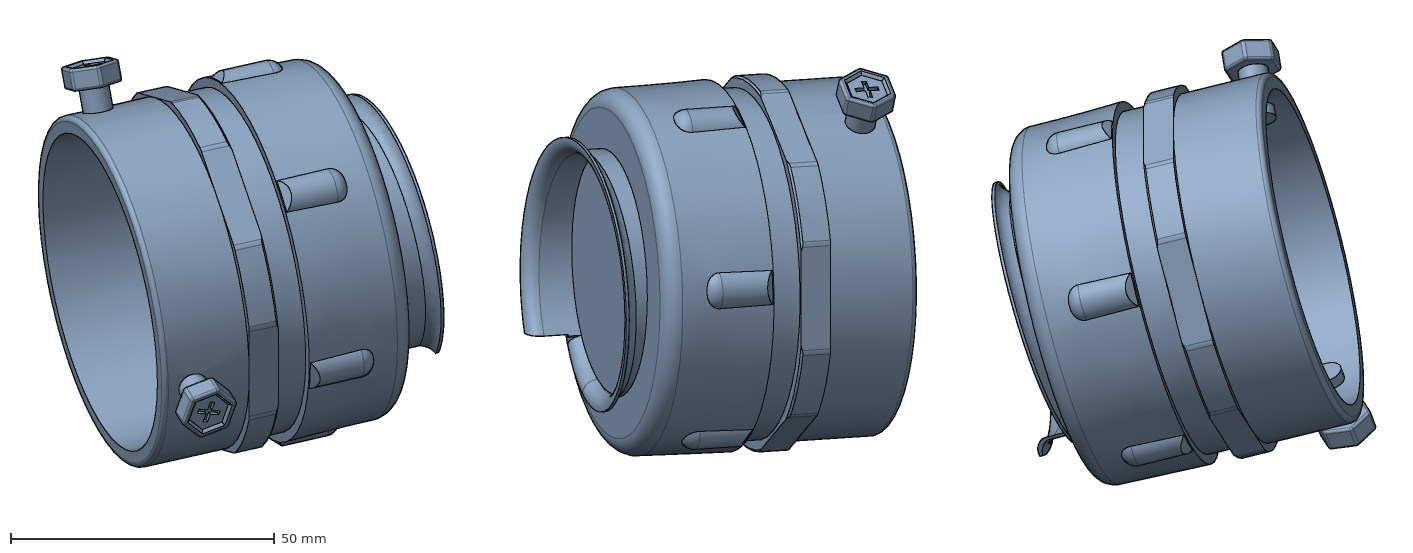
import cadquery as cq
import math


COLLAR_START = 17.4
COLLAR_LENGTH = 5.9
NECK_START = COLLAR_START + COLLAR_LENGTH
NECK_LENGTH = 5.8
CAP_START = NECK_START + NECK_LENGTH
CAP_LENGTH = 21.5
CAP_END = CAP_START + CAP_LENGTH

BARREL_RADIUS = 68.5 / 2
BARREL_BORE_RADIUS = 61.9 / 2
BARREL_BORE_DEPTH = 19.1
BARREL_MOUTH_FILLET = 1.0

COLLAR_RADIUS = 35.83
COLLAR_ACROSS_FLATS = 2 * BARREL_RADIUS
COLLAR_CORNER_FILLET = 3.3
COLLAR_EDGE_CHAMFER = 0.4

NECK_RADIUS = 67.2 / 2

CAP_RADIUS_FRONT = 35.5
CAP_RADIUS_BACK = 35.0
CAP_FILLET = 3.5
RIB_COUNT = 6
RIB_FIRST_ANGLE = -4.6
RIB_RADIUS = 4.1
RIB_AXIS_RADIUS = 32.87
RIB_LENGTH = 13.45
RIB_END_FILLET = 2.8
RIB_BEVEL = 1.7

CUP_RADIUS = 47.4 / 2
CUP_BORE_RADIUS = 46.4 / 2
RIM_RADIUS = 26.3
RIM_THICKNESS = 0.6
RIM_PITCH = 8.2
RIM_TOP = 60.79
RIM_START = RIM_TOP - RIM_PITCH
RIM_START_ANGLE = -42
RIM_STEP_Z = -15.3
RIM_JOINT = 1 / 12
FLARE_HEIGHT = 2.8

SCREW_Y = 6.0
SCREW_TIP = 28.7
SCREW_SHANK_RADIUS = 5.8 / 2
SCREW_HEAD_BASE = 39.1
SCREW_HEAD_TOP = 43.4
SCREW_HEAD_HEIGHT = SCREW_HEAD_TOP - SCREW_HEAD_BASE
HEAD_ACROSS_FLATS = 9.9
HEAD_CORNER_FILLET = 0.8
HEAD_EDGE_FILLET = 0.5
POCKET_ACROSS_FLATS = 8.0
POCKET_DEPTH = 0.6
POCKET_TAPER = 40
CROSS_LENGTH = 4.5
CROSS_WIDTH = 0.9
CROSS_DEPTH = 0.8
SCREW_PLACES = [(0, -19), (120, 0)]


def across_corners(across_flats):
    """Corner-to-corner size of a hexagon."""
    return across_flats / math.cos(math.radians(30))


def turn(shape, angle):
    """Turn a shape about the main axis, from +X towards +Z."""
    return shape.rotate((0, 0, 0), (0, 1, 0), -angle)


def disc(radius, start, length):
    """Round disc on the main axis, from start towards +Y."""
    return cq.Workplane("XZ", origin=(0, start, 0)).circle(radius).extrude(-length)


def place_screw_shape(shape, place):
    """Move a shape built along +Z at the origin to one of the screw places."""
    angle, spin = place
    spun = shape.rotate((0, 0, 0), (0, 0, 1), spin)
    radial = spun.rotate((0, 0, 0), (0, 1, 0), 90).translate((0, SCREW_Y, 0))
    return turn(radial, angle)


def make_barrel():
    """Cup-shaped barrel with a spigot that carries the collar."""
    barrel = disc(BARREL_RADIUS, 0, COLLAR_START).faces("<Y").edges().fillet(BARREL_MOUTH_FILLET)
    barrel = barrel.union(disc(NECK_RADIUS, COLLAR_START, COLLAR_LENGTH))
    barrel = barrel.cut(disc(BARREL_BORE_RADIUS, 0, BARREL_BORE_DEPTH))
    hole = cq.Workplane("XY").circle(SCREW_SHANK_RADIUS).extrude(SCREW_HEAD_BASE)
    for place in SCREW_PLACES:
        barrel = barrel.cut(place_screw_shape(hole, place))
    return barrel


def make_collar():
    """Round collar with six flats, one of them facing +X, chamfered towards the neck."""
    flats = (
        cq.Workplane("XZ", origin=(0, COLLAR_START, 0))
        .transformed(rotate=(0, 0, 30))
        .polygon(6, across_corners(COLLAR_ACROSS_FLATS))
        .extrude(-COLLAR_LENGTH)
    )
    collar = disc(COLLAR_RADIUS, COLLAR_START, COLLAR_LENGTH).intersect(flats)
    collar = collar.edges("|Y").fillet(COLLAR_CORNER_FILLET)
    envelope = disc(COLLAR_RADIUS, COLLAR_START, COLLAR_LENGTH)
    envelope = envelope.faces(">Y").edges().chamfer(COLLAR_EDGE_CHAMFER)
    collar = collar.intersect(envelope)
    return collar.cut(disc(NECK_RADIUS, COLLAR_START, COLLAR_LENGTH))


def make_neck():
    """Plain round neck between the collar and the cap."""
    return disc(NECK_RADIUS, NECK_START, NECK_LENGTH)


def make_rib():
    """Round-ended grip rib on +X, bevelled at the open end of the cap."""
    rib = disc(RIB_RADIUS, CAP_START, RIB_LENGTH)
    rib = rib.faces(">Y").edges().fillet(RIB_END_FILLET)
    rib = rib.translate((RIB_AXIS_RADIUS, 0, 0))
    crest = RIB_AXIS_RADIUS + RIB_RADIUS
    bevel = [
        (crest - RIB_BEVEL, CAP_START),
        (crest + RIB_BEVEL, CAP_START),
        (crest + RIB_BEVEL, CAP_START + 2 * RIB_BEVEL),
    ]
    return rib.cut(cq.Workplane("XY").polyline(bevel).close().revolve(360, (0, 0), (0, 1)))


def make_cap():
    """Slightly tapered cap with grip ribs around it."""
    profile = [
        (0, CAP_START),
        (CAP_RADIUS_FRONT, CAP_START),
        (CAP_RADIUS_BACK, CAP_END),
        (0, CAP_END),
    ]
    cap = cq.Workplane("XY").polyline(profile).close().revolve(360, (0, 0), (0, 1))
    cap = cap.faces(">Y").edges().fillet(CAP_FILLET)
    for index in range(RIB_COUNT):
        cap = cap.union(turn(make_rib(), RIB_FIRST_ANGLE + index * 360 / RIB_COUNT))
    return cap


def make_rim_piece(first_turn, last_turn):
    """Flared rim and the wall under it, between two points given in turns from the low end of the rim."""
    turns = last_turn - first_turn
    path = cq.Wire.makeHelix(RIM_PITCH, RIM_PITCH * turns, CUP_RADIUS)
    wall_foot = CAP_END - RIM_TOP - RIM_THICKNESS
    lip_middle = (CUP_RADIUS + RIM_RADIUS) / 2
    lip_sag = FLARE_HEIGHT / 3
    profile = (
        cq.Workplane("XZ")
        .moveTo(CUP_BORE_RADIUS, wall_foot)
        .lineTo(CUP_RADIUS, wall_foot)
        .lineTo(CUP_RADIUS, -FLARE_HEIGHT)
        .threePointArc((lip_middle - RIM_THICKNESS, -lip_sag - RIM_THICKNESS), (RIM_RADIUS, -RIM_THICKNESS))
        .lineTo(RIM_RADIUS, 0)
        .threePointArc((lip_middle - 2 * RIM_THICKNESS, -lip_sag), (CUP_BORE_RADIUS, -FLARE_HEIGHT))
        .close()
    )
    piece = profile.sweep(cq.Workplane(obj=path), isFrenet=True).rotate((0, 0, 0), (1, 0, 0), -90)
    piece = turn(piece, RIM_START_ANGLE - 360 * first_turn)
    return piece.translate((0, RIM_START + RIM_PITCH * first_turn, 0))


def make_eyecup():
    """Thin tube on the back of the cap, flared along its helical rim."""
    rim = make_rim_piece(0, RIM_JOINT).union(make_rim_piece(RIM_JOINT, 1))
    above_cap = disc(2 * RIM_RADIUS, CAP_END, RIM_PITCH * 2)
    rim = rim.intersect(above_cap)
    trim_size = RIM_RADIUS - CUP_BORE_RADIUS
    trim_center = CUP_BORE_RADIUS * math.cos(math.radians(RIM_START_ANGLE)) + trim_size
    trim = (
        cq.Workplane("XY", origin=(trim_center, RIM_START + RIM_THICKNESS, RIM_STEP_Z))
        .rect(3 * trim_size, 4 * RIM_PITCH)
        .extrude(-trim_size)
        .intersect(disc(2 * RIM_RADIUS, RIM_START + RIM_THICKNESS, 2 * RIM_PITCH))
    )
    return rim.cut(trim)


def make_screw():
    """Hex-headed screw along +Z, measured from the main axis."""
    shank_length = SCREW_HEAD_BASE - SCREW_TIP
    shank = cq.Workplane("XY", origin=(0, 0, SCREW_TIP)).circle(SCREW_SHANK_RADIUS).extrude(shank_length)
    head = (
        cq.Workplane("XY", origin=(0, 0, SCREW_HEAD_BASE))
        .polygon(6, across_corners(HEAD_ACROSS_FLATS))
        .extrude(SCREW_HEAD_HEIGHT)
    )
    head = head.edges("|Z").fillet(HEAD_CORNER_FILLET)
    head = head.faces("<Z or >Z").edges().fillet(HEAD_EDGE_FILLET)
    pocket = (
        cq.Workplane("XY", origin=(0, 0, SCREW_HEAD_TOP))
        .polygon(6, across_corners(POCKET_ACROSS_FLATS))
        .extrude(-POCKET_DEPTH, taper=POCKET_TAPER)
    )
    cross = (
        cq.Workplane("XY", origin=(0, 0, SCREW_HEAD_TOP - POCKET_DEPTH))
        .rect(CROSS_LENGTH, CROSS_WIDTH)
        .extrude(-CROSS_DEPTH)
    )
    head = head.cut(pocket).cut(cross).cut(cross.rotate((0, 0, 0), (0, 0, 1), 90))
    return shank.union(head)


barrel = make_barrel()
collar = make_collar()
neck = make_neck()
cap = make_cap()
eyecup = make_eyecup()
screws = [place_screw_shape(make_screw(), place) for place in SCREW_PLACES]

result = cq.Compound.makeCompound(
    [barrel.val(), collar.val(), neck.val(), cap.val(), eyecup.val()] + [screw.val() for screw in screws]
)